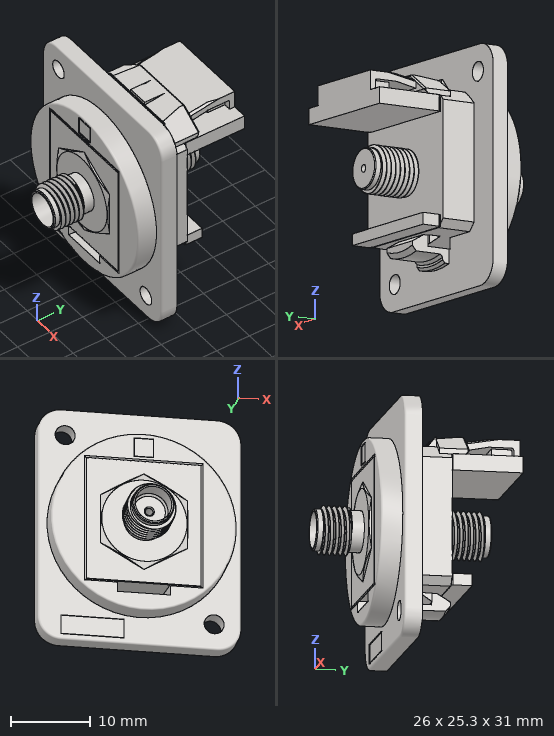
import cadquery as cq
import math


plate_width = 26.0
plate_height = 31.0
plate_front = -2.32
plate_corner_radius = 3.05
plate_edge_round = 0.3
screw_hole_diameter = 2.5
screw_hole_x = 9.52
screw_hole_z = 12.03
boss_radius = 11.85
boss_front = -5.08
boss_edge_round = 0.28

marking_depth = 0.12
boss_mark_size = 2.45
boss_mark_z = 9.98
plate_mark_width = 8.05
plate_mark_height = 2.48
plate_mark_x = -6.0
plate_mark_z = -13.45

body_half_width = 8.65
body_top = 9.85
body_bottom = -8.18
body_rear = 4.65
body_bottom_chamfer = 1.05

opening_half_width = 7.55
opening_half_height = 8.37
groove_width = 0.25

catch_window_half_width = 3.38
catch_window_rear_half_width = 3.1
catch_window_bottom = -9.6
tooth_half_width = 3.2
hook_half_width = 2.9
hook_head_front = 3.13
tooth_tip_z = -9.3
tooth_front = 1.52

arm_half_width = 8.12
arm_top = 8.75
arm_bottom = 6.63
arm_rear = 13.83
neck_length = 0.2
neck_inset = 0.12
neck_top = 8.45
latch_half_width = 5.98
latch_top = 11.28
latch_bend = 9.85
latch_relief_start = 11.28
latch_relief_width = 0.3
latch_relief_end_z = 10.55
latch_web_half_width = 4.93
latch_web_front = 10.35
latch_web_rear = 13.02
latch_underside = 10.23
latch_inner_round = 0.3
spring_end_top = 10.82
spring_end_bottom = 9.67
head_front = 3.13
head_rear = 7.0
head_half_width = 8.03
head_top = 11.62
head_flat_half_width = 4.75
head_wing_z = 9.4
head_bottom = 8.65
head_rear_chamfer = 0.62
head_edge_chamfer = 0.22
grip_inner_x = 1.52
grip_start = 6.15
grip_drop = 0.45
latch_window_front = 1.05
latch_tooth_top = 11.22
latch_tooth_rear = 2.98

tab_half_width = 8.12
tab_top = -6.6
tab_bottom = -8.12
tab_rear = 7.32

nut_across_flats = 11.13
nut_face_diameter = 10.9
nut_height = 0.35
shank_diameter = 5.3
front_tip = -11.47
rear_tip = 10.9
tip_chamfer = 0.12
thread_diameter = 6.25
thread_pitch = 0.68
thread_root_overlap = 0.03
thread_crest_half_width = 0.03
thread_base_half_width = 0.3275
front_thread_end = -10.65
front_thread_start = -6.98
rear_thread_end = 10.05
thread_overlap = 0.3
front_crest = -7.38
rear_crest = 5.05
socket_bore_diameter = 4.65
socket_floor_diameter = 4.1
socket_depth = 2.8
contact_hole_diameter = 0.95
contact_countersink_diameter = 1.27


def box(x_min, x_max, y_min, y_max, z_min, z_max):
    """Axis-aligned box between opposite limits."""
    size = (x_max - x_min, y_max - y_min, z_max - z_min)
    return cq.Workplane("XY").box(*size, centered=False).translate((x_min, y_min, z_min))


def disc(diameter, y_min, y_max):
    """Cylinder on the connector axis."""
    return cq.Workplane("XZ", origin=(0, y_max, 0)).circle(diameter / 2).extrude(y_max - y_min)


def side_extrusion(points, half_width):
    """Outline of (y, z) points extruded symmetrically along X."""
    return cq.Workplane("YZ").polyline(points).close().extrude(half_width, both=True)


def front_plane(y):
    """Workplane at y whose normal points forwards."""
    return cq.Workplane("XZ", origin=(0, y, 0))


def make_panel():
    plate = front_plane(0).rect(plate_width, plate_height).extrude(-plate_front)
    plate = plate.edges("|Y").fillet(plate_corner_radius)
    plate = plate.faces("<Y").edges().fillet(plate_edge_round)
    boss = disc(2 * boss_radius, boss_front, plate_front)
    boss = boss.faces("<Y").edges().fillet(boss_edge_round)
    holes = (
        front_plane(0)
        .pushPoints([(-screw_hole_x, screw_hole_z), (screw_hole_x, -screw_hole_z)])
        .circle(screw_hole_diameter / 2)
        .extrude(-plate_front)
    )
    boss_mark = (
        front_plane(boss_front + marking_depth)
        .center(0, boss_mark_z)
        .rect(boss_mark_size, boss_mark_size)
        .extrude(marking_depth)
    )
    plate_mark = (
        front_plane(plate_front + marking_depth)
        .center(plate_mark_x, plate_mark_z)
        .rect(plate_mark_width, plate_mark_height)
        .extrude(marking_depth)
    )
    return plate.union(boss).cut(holes).cut(boss_mark).cut(plate_mark)


def make_body():
    body = box(-body_half_width, body_half_width, 0, body_rear, body_bottom, body_top)
    body = body.faces("<Z").edges("|Y").chamfer(body_bottom_chamfer)
    body = body.intersect(disc(2 * boss_radius, 0, body_rear))
    window = box(
        -latch_half_width, latch_half_width, latch_window_front, head_front, arm_top, body_top
    )
    return body.cut(window)


def make_insert_groove():
    """Mitred bevel of the opening, with the insert standing flush inside it."""
    bevel_rear = boss_front + groove_width
    inner_half_width = opening_half_width - groove_width
    inner_half_height = opening_half_height - groove_width
    bevel = (
        front_plane(bevel_rear)
        .rect(2 * inner_half_width, 2 * inner_half_height)
        .workplane(offset=groove_width)
        .rect(2 * opening_half_width, 2 * opening_half_height)
        .loft()
    )
    insert = box(
        -inner_half_width, inner_half_width, boss_front, bevel_rear, -inner_half_height, inner_half_height
    )
    return bevel.cut(insert)


def make_catch_window():
    """Window through boss and plate, narrowing towards the rear."""
    height = body_bottom - catch_window_bottom
    middle_z = (body_bottom + catch_window_bottom) / 2
    return (
        front_plane(0)
        .center(0, middle_z)
        .rect(2 * catch_window_rear_half_width, height)
        .workplane(offset=-boss_front)
        .rect(2 * catch_window_half_width, height)
        .loft()
    )


def make_lower_catch():
    tooth = side_extrusion(
        [(tooth_front, body_bottom), (hook_head_front, tooth_tip_z), (hook_head_front, body_bottom)],
        tooth_half_width,
    )
    inner_side = [
        (0, catch_window_bottom),
        (hook_head_front, catch_window_bottom),
        (hook_head_front, body_bottom),
        (3.8, body_bottom),
        (5.52, -9.18),
    ]
    outer_side = [
        (5.52, -10.15),
        (4.93, -10.8),
        (1.33, -10.8),
        (0.95, -11.15),
        (0.95, -11.47),
        (0.62, -boss_radius),
        (0, -boss_radius),
    ]
    nose_rear = outer_side[0][0]
    turned_outline = [(0, 0), (0, nose_rear)] + [(-z, y) for y, z in outer_side]
    turned = cq.Workplane("XY").polyline(turned_outline).close().revolve(360, (0, 0), (0, 1))
    hook = side_extrusion(inner_side + outer_side, hook_half_width).intersect(turned)
    return tooth.union(hook)


def make_necked_block(half_width, rear, bottom, top, neck_height):
    """Block behind the body, joined to it by a slightly narrower neck."""
    block = box(-half_width, half_width, body_rear + neck_length, rear, bottom, top)
    neck_half_width = half_width - neck_inset
    neck = box(
        -neck_half_width, neck_half_width, body_rear, body_rear + neck_length, bottom, neck_height
    )
    return block.union(neck)


def make_latch():
    arm = make_necked_block(arm_half_width, arm_rear, arm_bottom, arm_top, neck_top)
    spring = side_extrusion(
        [
            (arm_rear, arm_top),
            (arm_rear, latch_top),
            (latch_bend, latch_top),
            (head_rear, spring_end_top),
            (head_rear, spring_end_bottom),
            (latch_bend, latch_underside),
            (latch_web_rear, latch_underside),
            (latch_web_rear, arm_top),
        ],
        latch_half_width,
    )
    spring = spring.edges(cq.selectors.NearestToPointSelector((0, latch_web_rear, latch_underside)))
    spring = spring.fillet(latch_inner_round)
    relief_start = cq.Vector(latch_half_width, latch_relief_start, latch_top)
    to_bend = cq.Vector(-latch_relief_width, latch_bend - latch_relief_start, 0)
    to_head = cq.Vector(0, head_rear - latch_relief_start, latch_relief_end_z - latch_top)
    relief_plane = cq.Plane(relief_start, to_bend, to_bend.cross(to_head))
    relief = cq.Workplane(relief_plane).rect(arm_rear, arm_rear).extrude(arm_rear)
    spring = spring.cut(relief).cut(relief.mirror("YZ"))
    web = box(
        -latch_web_half_width, latch_web_half_width, latch_web_front, arm_rear, arm_top, latch_underside
    )
    return arm.union(spring).union(web).union(make_latch_head())


def make_latch_head():
    outline = [
        (-head_half_width, head_bottom),
        (-head_half_width, head_wing_z),
        (-head_flat_half_width, head_top),
        (head_flat_half_width, head_top),
        (head_half_width, head_wing_z),
        (head_half_width, head_bottom),
    ]
    head = front_plane(head_rear).polyline(outline).close().extrude(head_rear - head_front)
    head = head.faces("<Z").edges(">Y").chamfer(head_rear_chamfer)
    head = head.faces(">Y").edges("not <Z").chamfer(head_edge_chamfer)
    grip = side_extrusion(
        [(grip_start, head_top), (head_front, head_top), (head_front, head_top - grip_drop)],
        head_half_width,
    )
    grip = grip.cut(box(-grip_inner_x, grip_inner_x, head_front, grip_start, head_wing_z, head_top))
    tooth = side_extrusion(
        [
            (latch_window_front, arm_top),
            (latch_tooth_rear, latch_tooth_top),
            (head_front, latch_tooth_top),
            (head_front, arm_top),
        ],
        latch_half_width,
    )
    return head.cut(grip).union(tooth)


def make_thread(crest_y, y_min, y_max):
    """Right-handed ridge whose crest crosses the +X side at crest_y, trimmed to y_min..y_max."""
    first_crest = crest_y + thread_pitch * math.ceil((y_max - crest_y) / thread_pitch + 0.5)
    length = first_crest - y_min + thread_pitch
    root = shank_diameter / 2 - thread_root_overlap
    crest = thread_diameter / 2
    helix = cq.Wire.makeHelix(thread_pitch, length, root)
    ridge = (
        cq.Workplane("XZ")
        .polyline(
            [
                (root, -thread_base_half_width),
                (crest, -thread_crest_half_width),
                (crest, thread_crest_half_width),
                (root, thread_base_half_width),
            ]
        )
        .close()
        .sweep(cq.Workplane(obj=helix), isFrenet=True)
    )
    ridge = ridge.rotate((0, 0, 0), (1, 0, 0), 90).translate((0, first_crest, 0))
    return ridge.intersect(disc(2 * thread_diameter, y_min, y_max))


def make_socket():
    """Turned cavity at the front end, with a bevelled floor edge and a countersunk contact hole."""
    bore = socket_bore_diameter / 2
    floor_radius = socket_floor_diameter / 2
    countersink = contact_countersink_diameter / 2
    hole = contact_hole_diameter / 2
    floor = front_tip + socket_depth
    profile = [
        (0, front_tip),
        (bore, front_tip),
        (bore, floor - (bore - floor_radius)),
        (floor_radius, floor),
        (countersink, floor),
        (hole, floor + countersink - hole),
        (0, floor + countersink - hole),
    ]
    return cq.Workplane("XY").polyline(profile).close().revolve(360, (0, 0), (0, 1))


def make_nut():
    corner = nut_across_flats / math.sqrt(3)
    hexagon = front_plane(boss_front).polygon(6, 2 * corner).extrude(nut_height)
    hexagon = hexagon.rotate((0, 0, 0), (0, 1, 0), 30)
    cone = (
        front_plane(boss_front)
        .circle(corner)
        .workplane(offset=nut_height)
        .circle(nut_face_diameter / 2)
        .loft()
    )
    return hexagon.intersect(cone)


panel = make_panel().union(make_body())
panel = panel.cut(make_insert_groove()).cut(make_catch_window())
tab = make_necked_block(tab_half_width, tab_rear, tab_bottom, tab_top, tab_top)
connector = disc(shank_diameter, front_tip, rear_tip).faces("<Y or >Y").chamfer(tip_chamfer)
connector = connector.union(make_thread(front_crest, front_thread_end, front_thread_start))
connector = connector.union(make_thread(rear_crest, body_rear - thread_overlap, rear_thread_end))
contact_hole = disc(contact_hole_diameter, front_tip, rear_tip)

part = panel.union(make_lower_catch()).union(make_latch()).union(tab).union(make_nut())
result = part.union(connector).cut(make_socket()).cut(contact_hole)